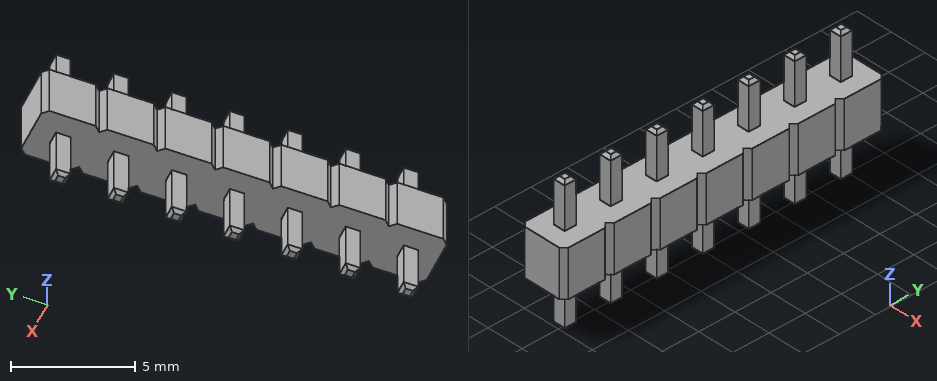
import cadquery as cq

pin_count = 7
row_length = 17.78
pitch = row_length / pin_count

segment_bevel = pitch / 10

pin_length = 7.35
pin_width = 0.64
pin_tip_bevel = 0.16


def housing_segment():
    """Cube around one pin; neighbouring bevels form the V grooves."""
    return cq.Workplane("XY").box(pitch, pitch, pitch).edges("|Z").chamfer(segment_bevel)


def pin():
    """Square pin through the middle of a segment, tapered at both ends."""
    return (
        cq.Workplane("XY")
        .box(pin_width, pin_width, pin_length)
        .faces("<Z or >Z")
        .edges()
        .chamfer(pin_tip_bevel)
    )


position = housing_segment().union(pin())
first_y = -(row_length - pitch) / 2

result = position.translate((0, first_y, 0))
for index in range(1, pin_count):
    result = result.union(position.translate((0, first_y + index * pitch, 0)))

result = result.clean()